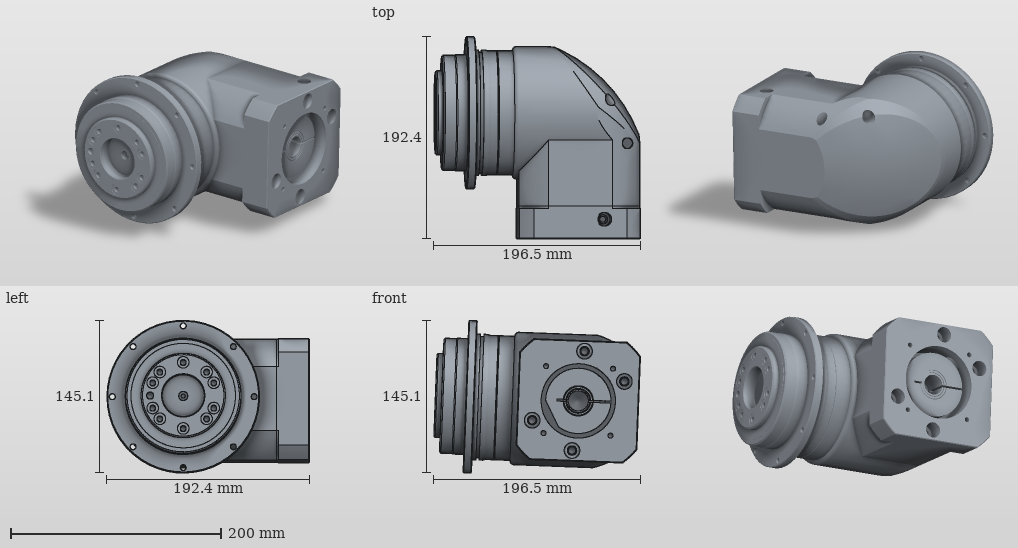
import cadquery as cq
import math

TILT = 2.2
drill_tip_ratio = 0.6

disk_front = -136.0
front_ring_face = -130.0
front_ring_step = -118.0
flange_front = -107.0
flange_back = -98.9
oring_front = -95.1
oring_back = -92.0
taper_front = -89.0
taper_back = -86.5
joint_x = -77.8
elbow_face = -62.7

disk_radius = 40.0
disk_edge = 1.4
recess_radius = 20.0
recess_depth = 12.0
recess_edge = 0.5
disk_floor = 9.8
centre_hole_radius = 4.3
centre_hole_depth = 5.5
centre_tip_radius = 2.0
centre_tip_depth = 2.4
bolt_circle = 31.5
bolt_angles = [22.5, 45, 90, 135, 157.5]
bolt_hole_radius = 2.8
bolt_hole_depth = 11.8
bolt_seat_radius = 5.5
bolt_seat_depth = 0.4
pin_hole_radius = 3.3

front_ring_relief_radius = 54.8
front_ring_radius = 55.2
front_ring_step_length = 1.2
front_ring_edge = 1.4
seal_radius = 49.7
seal_height = 0.2
flange_radius = 72.5
flange_edge = 0.8
pilot_radius = 60.0
oring_radius = 57.8
barrel_radius = 59.2
joint_edge = 0.5
flange_hole_circle = 67.5
flange_hole_radius = 2.8
flange_hole_count = 8

plate_face = -119.9
plate_back = -90.8
plate_side = 115.0
plate_corner_radius = flange_radius
plate_edge = 0.8
plate_bore_radius = 35.4
motor_hole_circle = 45.0
motor_hole_angles = [45, 135, 225, 315]
motor_hole_radius = 2.4
motor_hole_depth = 15.7
plate_bolt_circle = 47.5
plate_bolt_angles = [25, 85, 205, 265]
plate_bolt_head_radius = 7.5
plate_bolt_head_depth = 17.7
plate_bolt_radius = 4.5
tapped_radius = 3.5
tapped_depth = 15.7

elbow_radius = 63.0
elbow_edge_radius = elbow_radius - barrel_radius
elbow_reach = 78.6
neck_radius = 65.0
neck_flat = plate_side / 2
neck_end = -88.5
dome_radius = 146.8
dome_x = -79.6
dome_y = -73.0
bevel_start = 5.9
bevel_end = 43.2
bevel_half_width = 94.0
bevel_half_height = 77.0
bevel_width_slope = 1.2
bevel_height_slope = 0.88
corner_size = 294.8
side_hole_x = 45.2
side_hole_y = -28.9
side_hole_radius = 5.1
side_hole_floor = 29.5
diagonal_hole_across = 11.2
diagonal_hole_height = 48.7
diagonal_hole_radius = 6.0
diagonal_hole_floor = 17.7

clamp_face = -109.3
collar_back = -93.4
collar_radius = 31.0
collar_flat = 27.7
collar_flat_angle = 208
slit_width = 2.0
slit_reach = 20.5
shaft_radius = 14.3
shaft_end = -68.8
bushing_radius = 11.8
bushing_end = -84.5
input_bore_radius = 9.6
input_bore_end = -80.5
clamp_edge = 0.8
screw_x = 23.0
screw_y = -101.2
screw_radius = 2.4
screw_tip = -13.8
screw_seat = 3.0
screw_head_height = 5.1
screw_head_radius = 4.3
screw_socket_width = 6.3
screw_socket_depth = 2.8
screw_access_radius = 6.5


def turned_x(profile):
    """Solid of revolution about X from (x, radius) points."""
    return cq.Workplane("XY").polyline(profile).close().revolve(360, (0, 0, 0), (1, 0, 0))


def rod_x(radius, start, end):
    return cq.Workplane("YZ", origin=(start, 0, 0)).circle(radius).extrude(end - start)


def rod_y(radius, start, end, x=0.0, z=0.0):
    axis = cq.Vector(0, 1, 0)
    return cq.Workplane(cq.Solid.makeCylinder(radius, end - start, cq.Vector(x, start, z), axis))


def rod_z(radius, start, end, x, y):
    return cq.Workplane(cq.Solid.makeCylinder(radius, end - start, cq.Vector(x, y, start)))


def polar(radius, angle):
    return (radius * math.cos(math.radians(angle)), radius * math.sin(math.radians(angle)))


def drilled_hole(radius, depth, start, direction):
    """Blind hole with the cone left by the drill."""
    start = cq.Vector(*start)
    direction = cq.Vector(*direction)
    bore = cq.Solid.makeCylinder(radius, depth, start, direction)
    tip = cq.Solid.makeCone(radius, 0, radius * drill_tip_ratio, start + direction * depth, direction)
    return cq.Workplane(bore).union(cq.Workplane(tip))


disk_back = disk_front + recess_depth + disk_floor


def make_output_disk():
    recess_floor = disk_front + recess_depth
    disk = turned_x([
        (disk_front, recess_radius + recess_edge),
        (disk_front, disk_radius - disk_edge),
        (disk_front + disk_edge, disk_radius),
        (disk_back, disk_radius),
        (disk_back, 0),
        (recess_floor, 0),
        (recess_floor, recess_radius),
        (disk_front + recess_edge, recess_radius),
    ])
    hole_floor = recess_floor + centre_hole_depth
    disk = disk.cut(rod_x(centre_hole_radius, recess_floor, hole_floor))
    disk = disk.cut(rod_x(centre_tip_radius, hole_floor, hole_floor + centre_tip_depth))
    face = cq.Workplane("YZ", origin=(disk_front, 0, 0))
    spots = [polar(bolt_circle, side * angle) for angle in bolt_angles for side in (1, -1)]
    disk = disk.cut(face.pushPoints(spots).circle(bolt_seat_radius).extrude(bolt_seat_depth))
    for y, z in spots:
        hole = drilled_hole(bolt_hole_radius, bolt_hole_depth, (disk_front, y, z), (1, 0, 0))
        disk = disk.cut(hole)
    pin_hole = drilled_hole(pin_hole_radius, bolt_hole_depth, (disk_front, bolt_circle, 0), (1, 0, 0))
    return disk.cut(pin_hole)


def make_front_ring():
    return turned_x([
        (front_ring_face - seal_height, disk_radius),
        (front_ring_face - seal_height, seal_radius),
        (front_ring_face, seal_radius),
        (front_ring_face, front_ring_relief_radius - front_ring_edge),
        (front_ring_face + front_ring_edge, front_ring_relief_radius),
        (front_ring_step, front_ring_relief_radius),
        (front_ring_step + front_ring_step_length, front_ring_radius),
        (flange_front, front_ring_radius),
        (flange_front, 0),
        (disk_back, 0),
        (disk_back, disk_radius),
    ])


def make_flange():
    flange = turned_x([
        (flange_front, 0),
        (flange_front, flange_radius - flange_edge),
        (flange_front + flange_edge, flange_radius),
        (flange_back - flange_edge, flange_radius),
        (flange_back, flange_radius - flange_edge),
        (flange_back, pilot_radius),
        (oring_front, pilot_radius),
        (oring_front, oring_radius),
        (oring_back, oring_radius),
        (oring_back, pilot_radius),
        (taper_front, pilot_radius),
        (taper_back, barrel_radius),
        (joint_x - joint_edge, barrel_radius),
        (joint_x, barrel_radius - joint_edge),
        (joint_x, 0),
    ])
    holes = (
        cq.Workplane("YZ", origin=(flange_front, 0, 0))
        .polarArray(flange_hole_circle, 0, 360, flange_hole_count)
        .circle(flange_hole_radius)
        .extrude(flange_back - flange_front)
    )
    return flange.cut(holes)


def make_barrel(end_x):
    """Stepped round of the output side, from the joint to end_x."""
    barrel = turned_x([
        (joint_x, 0),
        (joint_x, barrel_radius - joint_edge),
        (joint_x + joint_edge, barrel_radius),
        (elbow_face, barrel_radius),
        (elbow_face + elbow_edge_radius, barrel_radius),
        (elbow_face + elbow_edge_radius, 0),
    ])
    edge_x = elbow_face + elbow_edge_radius
    bend = elbow_edge_radius * math.sqrt(0.5)
    body = (
        cq.Workplane("XY")
        .moveTo(elbow_face, 0)
        .lineTo(elbow_face, barrel_radius)
        .threePointArc((edge_x - bend, barrel_radius + bend), (edge_x, elbow_radius))
        .lineTo(end_x, elbow_radius)
        .lineTo(end_x, 0)
        .close()
        .revolve(360, (0, 0, 0), (1, 0, 0))
    )
    return barrel.union(body)


def flatted_neck(start, end, half_flat):
    """Cylinder about Y with four flats."""
    size = 2 * half_flat
    square = cq.Workplane("XY").box(size, end - start, size).translate((0, (start + end) / 2, 0))
    return rod_y(neck_radius, start, end).intersect(square)


def diagonal_plane(distance):
    """Plane square to the (1, 1, 0) diagonal; its x runs along (1, -1, 0)."""
    offset = distance * math.sqrt(0.5)
    return cq.Plane(origin=(offset, offset, 0), xDir=(1, -1, 0), normal=(1, 1, 0))


def bevel_section(distance):
    """Half axes of the elliptic bevel at a distance along the diagonal."""
    return bevel_half_width - bevel_width_slope * distance, bevel_half_height - bevel_height_slope * distance


def make_bevel_envelope():
    """Cone-like space of elliptic section that narrows outwards along the diagonal."""
    return (
        cq.Workplane(diagonal_plane(bevel_start))
        .ellipse(*bevel_section(bevel_start))
        .workplane(offset=bevel_end - bevel_start)
        .ellipse(*bevel_section(bevel_end))
        .loft(ruled=True, combine=True)
    )


def make_elbow():
    width = 2 * neck_radius
    up_to_flat = cq.Workplane("XY").box(neck_flat, width, width, centered=(False, True, True))
    rounded_end = rod_y(neck_radius, -neck_radius, neck_radius).intersect(up_to_flat)
    elbow = make_barrel(0).union(make_barrel(elbow_reach).intersect(rounded_end))
    elbow = elbow.union(flatted_neck(neck_end, 0, neck_flat)).clean()

    dome = cq.Workplane("XY").sphere(dome_radius).translate((dome_x, dome_y, 0))
    elbow = elbow.intersect(dome)
    corner = (
        cq.Workplane(diagonal_plane(bevel_start))
        .rect(corner_size, corner_size)
        .extrude(bevel_end - bevel_start)
    )
    elbow = elbow.cut(corner.cut(make_bevel_envelope()))

    side_hole = rod_z(side_hole_radius, side_hole_floor, neck_radius, side_hole_x, side_hole_y)
    elbow = elbow.cut(side_hole)
    diagonal_hole = (
        cq.Workplane(diagonal_plane(diagonal_hole_floor))
        .center(diagonal_hole_across, -diagonal_hole_height)
        .circle(diagonal_hole_radius)
        .extrude(bevel_end - diagonal_hole_floor)
    )
    elbow = elbow.cut(diagonal_hole)
    for angle in plate_bolt_angles:
        x, z = polar(plate_bolt_circle, angle)
        elbow = elbow.cut(drilled_hole(tapped_radius, tapped_depth, (x, neck_end, z), (0, 1, 0)))
    return elbow.cut(rod_y(shaft_radius, neck_end, shaft_end))


def make_plate():
    depth = plate_back - plate_face
    square = cq.Workplane("XY").box(plate_side, depth, plate_side)
    square = square.translate((0, (plate_face + plate_back) / 2, 0))
    plate = square.intersect(rod_y(plate_corner_radius, plate_face, plate_back))
    plate = plate.faces("<Y").chamfer(plate_edge)
    plate = plate.union(flatted_neck(plate_back, neck_end, plate_side / 2))
    plate = plate.cut(rod_y(plate_bore_radius, plate_face, neck_end))
    for angle in plate_bolt_angles:
        x, z = polar(plate_bolt_circle, angle)
        plate = plate.cut(rod_y(plate_bolt_head_radius, plate_face, plate_face + plate_bolt_head_depth, x, z))
        plate = plate.cut(rod_y(plate_bolt_radius, plate_face, neck_end, x, z))
    for angle in motor_hole_angles:
        x, z = polar(motor_hole_circle, angle)
        plate = plate.cut(drilled_hole(motor_hole_radius, motor_hole_depth, (x, plate_face, z), (0, 1, 0)))
    return plate.cut(rod_z(screw_access_radius, 0, plate_side / 2, screw_x, screw_y))


def slit(start_x, end_x):
    """Slab through the clamp parts between two X positions."""
    size = (end_x - start_x, bushing_end - clamp_face, slit_width)
    slab = cq.Workplane("XY").box(*size)
    return slab.translate(((start_x + end_x) / 2, (clamp_face + bushing_end) / 2, 0))


def make_collar():
    collar = rod_y(collar_radius, clamp_face, collar_back).cut(rod_y(shaft_radius, clamp_face, collar_back))
    flat = (
        cq.Workplane("XY")
        .box(collar_radius, 2 * (collar_back - clamp_face), 2 * collar_radius)
        .translate((collar_flat + collar_radius / 2, (clamp_face + collar_back) / 2, 0))
        .rotate((0, 0, 0), (0, 1, 0), -collar_flat_angle)
    )
    collar = collar.cut(flat).cut(slit(-slit_reach, collar_radius))
    collar = collar.cut(rod_z(screw_head_radius, screw_seat, collar_radius, screw_x, screw_y))
    return collar.cut(rod_z(screw_radius, screw_tip, screw_seat, screw_x, screw_y))


def make_shaft():
    shaft = rod_y(shaft_radius, clamp_face, shaft_end).faces("<Y").chamfer(clamp_edge)
    shaft = shaft.cut(rod_y(bushing_radius, clamp_face, bushing_end))
    blind_bore = drilled_hole(
        input_bore_radius, input_bore_end - bushing_end, (0, bushing_end, 0), (0, 1, 0)
    )
    shaft = shaft.cut(blind_bore)
    return shaft.cut(slit(-shaft_radius, shaft_radius))


def make_bushing():
    bushing = rod_y(bushing_radius, clamp_face, bushing_end).faces("<Y").chamfer(clamp_edge)
    bushing = bushing.cut(rod_y(input_bore_radius, clamp_face, bushing_end))
    return bushing.cut(slit(0, bushing_radius))


def make_screw():
    head_top = screw_seat + screw_head_height
    screw = rod_z(screw_radius, screw_tip, screw_seat, screw_x, screw_y)
    screw = screw.union(rod_z(screw_head_radius, screw_seat, head_top, screw_x, screw_y))
    socket = (
        cq.Workplane("XY", origin=(screw_x, screw_y, head_top))
        .polygon(6, screw_socket_width)
        .extrude(-screw_socket_depth)
    )
    return screw.cut(socket)


bodies = [
    make_output_disk(),
    make_front_ring(),
    make_flange(),
    make_elbow(),
    make_plate(),
    make_collar(),
    make_shaft(),
    make_bushing(),
    make_screw(),
]
result = cq.Compound.makeCompound(
    [body.rotate((0, 0, 0), (0, 1, 0), TILT).val() for body in bodies]
)